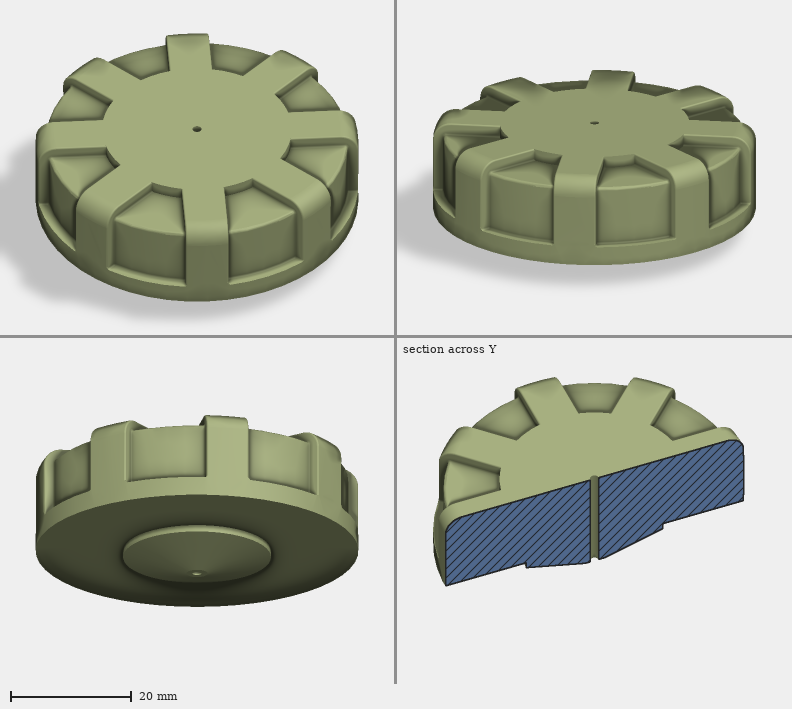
import cadquery as cq
import math

cap_radius = 26.75
cap_height = 15.0
shoulder_radius = 3.0

plug_radius = 24.5 / 2
plug_tip_radius = 3.5 / 2
plug_straight_height = 1.1
plug_depth = 4.0

rib_count = 8
rib_half_width = 3.55
rib_edge_radius = 0.25
rib_angle = 360 / rib_count
hub_radius = 15.75
drum_radius = 25.05
drum_edge_radius = 0.5
pocket_depth = 2.0
ledge_height = 3.15
foot_radius = 0.3

vent_diameter = 1.5

clearance = 2.7
tolerance = 0.005


def disc(radius, height, edge_radius):
    """Solid disc on Z = 0 with a rounded top edge."""
    return cq.Workplane("XY").circle(radius).extrude(height).faces(">Z").edges().fillet(edge_radius)


def make_plug():
    """Short cylinder ending in a blunt cone, hanging below Z = 0."""
    return (
        cq.Workplane("XZ")
        .lineTo(plug_radius, 0)
        .lineTo(plug_radius, -plug_straight_height)
        .lineTo(plug_tip_radius, -plug_depth)
        .lineTo(0, -plug_depth)
        .close()
        .revolve(360, (0, 0, 0), (0, 1, 0))
    )


def distance_from_axis(point):
    return math.hypot(point.x, point.y)


def lies_on_rib_wall(edge):
    """True if the start, middle and end of the edge lie on the side walls of its nearest rib."""
    middle = edge.positionAt(0.5)
    nearest_rib = round(math.degrees(math.atan2(middle.y, middle.x)) / rib_angle)
    direction = math.radians(nearest_rib * rib_angle)
    for point in (edge.positionAt(0), middle, edge.positionAt(1)):
        offset = abs(point.y * math.cos(direction) - point.x * math.sin(direction))
        if abs(offset - rib_half_width) > tolerance:
            return False
    return True


def make_pocket():
    """Sharp-edged cutter for the space between the rib on +X and the next one."""
    cutter_top = cap_height + clearance
    half_angle = math.radians(rib_angle / 2)

    apex_x = rib_half_width / math.sin(half_angle)
    wall_length = 2 * cap_radius
    end_x = apex_x + wall_length * math.cos(half_angle)
    end_y = wall_length * math.sin(half_angle)
    sector = (
        cq.Workplane("XY", origin=(0, 0, ledge_height))
        .polyline([(apex_x, 0), (end_x, -end_y), (end_x, end_y)])
        .close()
        .extrude(cutter_top - ledge_height)
    )

    hub = cq.Workplane("XY").circle(hub_radius).extrude(cutter_top)
    drum = disc(drum_radius, cap_height - pocket_depth, drum_edge_radius)
    return sector.cut(hub).cut(drum).rotate((0, 0, 0), (0, 0, 1), rib_angle / 2)


def round_rib_edges(body):
    """Round the long outer edges of every rib, from the hub over the shoulder to the ledge."""
    inset = rib_edge_radius / 2
    core = disc(cap_radius - inset, cap_height - inset, shoulder_radius - inset).val()
    rib_edges = [
        edge
        for edge in body.edges().vals()
        if lies_on_rib_wall(edge) and not core.isInside(edge.positionAt(0.5))
    ]
    return body.newObject(rib_edges).fillet(rib_edge_radius)


def is_pocket_foot(edge):
    """True for the inner corners of a pocket: at the foot of the rib walls and around the drum."""
    middle = edge.positionAt(0.5)
    radius = distance_from_axis(middle)
    on_ledge = abs(middle.z - ledge_height) < tolerance
    if lies_on_rib_wall(edge):
        within_drum = hub_radius + tolerance < radius < drum_radius + tolerance
        below_floor = middle.z < cap_height - pocket_depth + tolerance
        return on_ledge or (within_drum and below_floor)
    return on_ledge and abs(radius - drum_radius) < tolerance


def round_pocket_feet(body):
    """Fill the inner corners of every pocket with a small radius."""
    feet = [edge for edge in body.edges().vals() if is_pocket_foot(edge)]
    return body.newObject(feet).fillet(foot_radius)


def make_slice():
    """One finished share of the cap, from the middle of the rib on +X to the middle of the next rib."""
    cap = disc(cap_radius, cap_height, shoulder_radius).cut(make_pocket())
    cap = round_pocket_feet(round_rib_edges(cap))
    reach = 2 * cap_radius
    angle = math.radians(rib_angle)
    share = (
        cq.Workplane("XY")
        .polyline([(0, 0), (reach, 0), (reach * math.cos(angle), reach * math.sin(angle))])
        .close()
        .extrude(cap_height)
    )
    return cap.intersect(share)


cap_slice = make_slice()
body = make_plug()
for index in range(rib_count):
    body = body.union(cap_slice.rotate((0, 0, 0), (0, 0, 1), index * rib_angle))

vent = cq.Workplane("XY", origin=(0, 0, -plug_depth)).circle(vent_diameter / 2)
vent = vent.extrude(plug_depth + cap_height)
result = body.cut(vent)